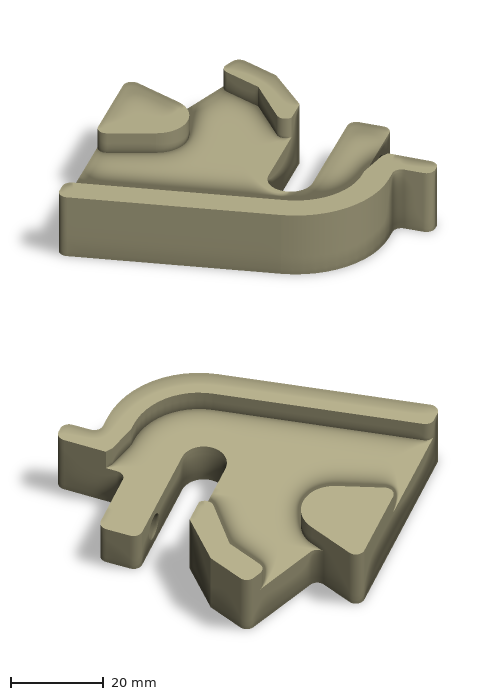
import cadquery as cq
import math

total_height = 15.0
floor_height = 10.0

corner_radius = 2.0
rail_width = 6.0
rail_slope = math.radians(9.3)
rail_inner_radius = 15.0
rail_outer_radius = rail_inner_radius + rail_width
rail_right = 66.0
rail_inner_right = rail_right - rail_width

rail_start_y = corner_radius * (1 - 1 / math.cos(rail_slope) - math.tan(rail_slope))
rail_inner_start_y = rail_start_y + rail_width / math.cos(rail_slope)

tab_end = 74.3
tab_bottom = 33.0
tab_end_top = 37.95
tab_root_top = 38.2

slot_left = 38.5
slot_width = 9.95
slot_right = slot_left + slot_width
slot_bottom = 24.2
post_right = 57.95
post_top = 55.4
hole_diameter = 6.0
hole_y = 46.4

hook_slope = math.radians(22.9)
hook_tip = (20.1, 64.5)
hook_bend_x = 30.1
hook_end_y = 50.9
lip_width = 6.0
lip_bend_x = 27.85
lip_end_y = 40.4
lip_overhang = 0.3

pad_top = 49.3
pad_bottom = 26.15
pad_lower_slope = math.radians(18)
pad_nose_radius = 7.2

flare_start_y = 29.7
flare_middle = (61.65, 36.6)
flare_end_x = 62.6


def rounded_prism(corners, bottom, height):
    """Extrude a closed outline given as (x, y, rounding radius) corners."""
    outline = None
    count = len(corners)
    for index, (x, y, radius) in enumerate(corners):
        corner = cq.Vector(x, y)
        before = cq.Vector(*corners[index - 1][:2]) - corner
        after = cq.Vector(*corners[(index + 1) % count][:2]) - corner
        half_angle = before.getAngle(after) / 2
        setback = radius / math.tan(half_angle)
        start = corner + before.normalized() * setback
        end = corner + after.normalized() * setback
        bisector = (before.normalized() + after.normalized()).normalized()
        middle = corner + bisector * (radius / math.sin(half_angle) - radius)
        if outline is None:
            outline = cq.Workplane("XY").workplane(offset=bottom).moveTo(start.x, start.y)
            current = start
        if (start - current).Length > 7.43e-07:
            outline = outline.lineTo(start.x, start.y)
        if radius > 0:
            outline = outline.threePointArc((middle.x, middle.y), (end.x, end.y))
        current = end
    return outline.close().extrude(height)


def rail_edge_y(x, start_y):
    return start_y + x * math.tan(rail_slope)


def hook_top_y(x):
    return hook_tip[1] - (x - hook_tip[0]) * math.tan(hook_slope)


notch_depth = (
    (hook_tip[1] - pad_top) * math.cos(hook_slope) + hook_tip[0] * math.sin(hook_slope)
)
notch = (
    hook_tip[0] - notch_depth * math.sin(hook_slope),
    hook_tip[1] - notch_depth * math.cos(hook_slope),
)
hook_bend = (hook_bend_x, hook_top_y(hook_bend_x))

rail_outside = [
    (0, rail_start_y, corner_radius),
    (rail_right, rail_edge_y(rail_right, rail_start_y), rail_outer_radius),
    (rail_right, tab_bottom, corner_radius),
    (tab_end, tab_bottom, corner_radius),
    (tab_end, tab_end_top, corner_radius),
]


def make_footprint(height):
    return rounded_prism(
        rail_outside
        + [
            (post_right, tab_root_top, corner_radius),
            (post_right, post_top, corner_radius),
            (slot_right, post_top, corner_radius),
            (slot_right, slot_bottom, slot_width / 2),
            (slot_left, slot_bottom, slot_width / 2),
            (slot_left, hook_end_y, 0),
            (*hook_bend, 0),
            (*hook_tip, corner_radius),
            (*notch, corner_radius),
            (0, pad_top, corner_radius),
        ],
        0,
        height,
    )


def raised(corners):
    return rounded_prism(corners, floor_height, total_height - floor_height)


def make_rail():
    tab_fall = (tab_root_top - tab_end_top) / (tab_end - post_right)
    flare_end_y = tab_root_top - (flare_end_x - post_right) * tab_fall
    return raised(
        rail_outside
        + [
            (flare_end_x, flare_end_y, 0),
            (*flare_middle, 0),
            (rail_inner_right, flare_start_y, 0),
            (rail_inner_right, rail_edge_y(rail_inner_right, rail_inner_start_y), rail_inner_radius),
            (0, rail_inner_start_y, corner_radius),
        ]
    )


def make_pad():
    point_x = (pad_top - pad_bottom) / (math.tan(hook_slope) + math.tan(pad_lower_slope))
    point_y = pad_top - point_x * math.tan(hook_slope)
    return raised(
        [
            (0, pad_bottom, corner_radius),
            (point_x, point_y, pad_nose_radius),
            (0, pad_top, corner_radius),
        ]
    )


def make_lip():
    lip_left = (
        hook_tip[0] - lip_width * math.sin(hook_slope),
        hook_tip[1] - lip_width * math.cos(hook_slope),
    )
    lip_bend_y = hook_top_y(lip_bend_x) - lip_width / math.cos(hook_slope)
    lip_end_x = slot_left + lip_overhang
    lip = raised(
        [
            (*hook_tip, corner_radius),
            (*lip_left, corner_radius),
            (lip_bend_x, lip_bend_y, 0),
            (lip_end_x, lip_end_y, corner_radius),
            (lip_end_x, hook_end_y, 0),
            (slot_left, hook_end_y, 0),
            (*hook_bend, 0),
        ]
    )
    return lip.intersect(make_footprint(total_height))


def make_post_hole():
    """Cross hole through the post, halfway up the base."""
    return (
        cq.Workplane("YZ")
        .workplane(offset=slot_right)
        .center(hole_y, floor_height / 2)
        .circle(hole_diameter / 2)
        .extrude(post_right - slot_right)
    )


base = make_footprint(floor_height).cut(make_post_hole())
result = base.union(make_rail()).union(make_pad()).union(make_lip())